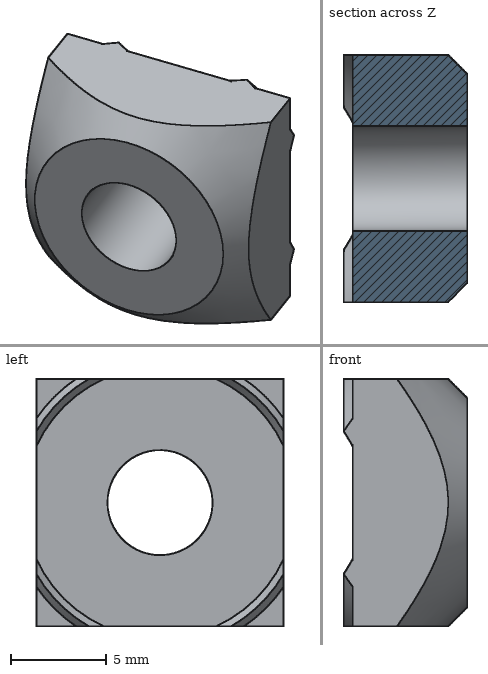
import cadquery as cq

length = 6.5
width = 13.0
bore_diameter = 5.51
ridge_height = 0.47
ridge_crest_radius = 7.5
ridge_half_width = 0.36
end_radius = 5.5

half_width = width / 2
seat_x = ridge_height
clear_radius = width
cone_start_x = length - (clear_radius - end_radius)


def square_body():
    """Square block from the seating face to the far end."""
    return cq.Workplane("YZ", origin=(seat_x, 0, 0)).rect(width, width).extrude(length - seat_x)


def revolve_about_x(points):
    """Revolve a closed (x, radius) outline about the X axis."""
    return cq.Workplane("XY").polyline(points).close().revolve(360, (0, 0, 0), (1, 0, 0))


def cone_envelope():
    """Solid cone whose 45 degree flank trims the far end of the square."""
    return revolve_about_x([
        (cone_start_x, 0),
        (cone_start_x, clear_radius),
        (length, end_radius),
        (length, 0),
    ])


def corner_ridges():
    """Triangular ring on the seating face, left only at the square's corners."""
    ring = revolve_about_x([
        (seat_x, ridge_crest_radius - ridge_half_width),
        (0, ridge_crest_radius),
        (seat_x, ridge_crest_radius + ridge_half_width),
    ])
    return ring.intersect(cq.Workplane("XY").box(length, width, width))


def bore():
    """Through hole along the axis."""
    return cq.Workplane("YZ").circle(bore_diameter / 2).extrude(length)


result = square_body().intersect(cone_envelope()).union(corner_ridges()).cut(bore())